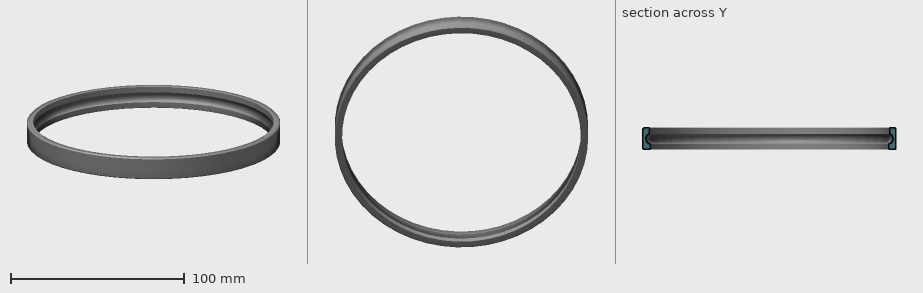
import cadquery as cq
import math

outer_radius = 146.05 / 2
width = 12.7
outer_chamfer = 0.6
bore_chamfer = 0.2

lower_land_radius = 68.75
land_relief = 0.5
upper_land_radius = lower_land_radius + land_relief

groove_radius = 3.0
groove_floor_radius = 71.15
groove_center_radius = groove_floor_radius - groove_radius


def groove_half_opening(land_radius):
    """Half the width of the groove where its arc meets a land."""
    return math.sqrt(groove_radius**2 - (land_radius - groove_center_radius) ** 2)


def make_section():
    """Half section of the ring in the YZ plane, with Y as the radius."""
    middle = width / 2
    groove_bottom = middle - groove_half_opening(lower_land_radius)
    groove_top = middle + groove_half_opening(upper_land_radius)
    return (
        cq.Workplane("YZ")
        .moveTo(lower_land_radius + bore_chamfer, 0)
        .lineTo(outer_radius - outer_chamfer, 0)
        .lineTo(outer_radius, outer_chamfer)
        .lineTo(outer_radius, width - outer_chamfer)
        .lineTo(outer_radius - outer_chamfer, width)
        .lineTo(upper_land_radius + bore_chamfer, width)
        .lineTo(upper_land_radius, width - bore_chamfer)
        .lineTo(upper_land_radius, groove_top)
        .threePointArc((groove_floor_radius, middle), (lower_land_radius, groove_bottom))
        .lineTo(lower_land_radius, bore_chamfer)
        .close()
    )


def make_ring():
    """Revolve the section a full turn about Z, with the bottom face at Z = 0."""
    return make_section().revolve(360, (0, 0, 0), (0, 1, 0))


result = make_ring()